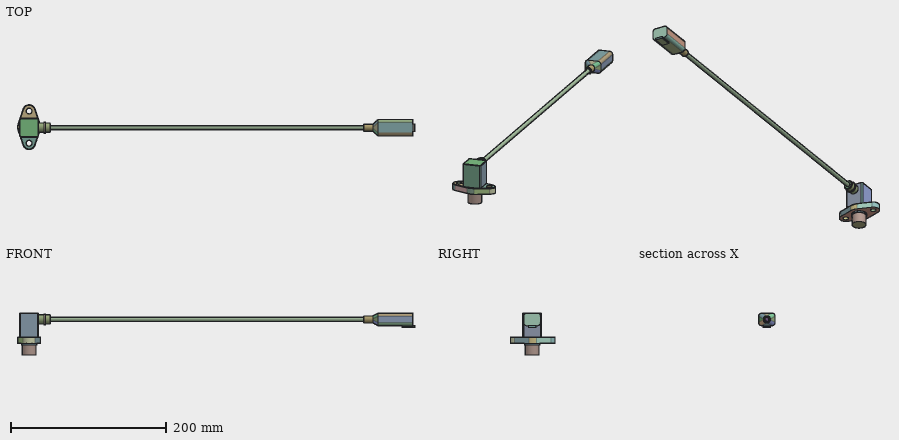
import cadquery as cq

TOTAL_LENGTH = 511.5
TOTAL_HEIGHT = 54.0
TOTAL_WIDTH = 58.0

NOSE_DIAMETER = 18.0
NOSE_LENGTH = 15.5
COLLAR_DIAMETER = 20.0
COLLAR_HEIGHT = 2.0
FLANGE_THICKNESS = 8.0
FLANGE_SHIFT_Y = 0.75
FLANGE_EDGE_CHAMFER = 0.75
FLANGE_CENTRE_RADIUS = 15.0
FLANGE_END_RADIUS = 8.0
MOUNT_HOLE_DIAMETER = 7.0
MOUNT_HOLE_OFFSET = TOTAL_WIDTH / 2 - FLANGE_END_RADIUS
FLANGE_TOP = NOSE_LENGTH + FLANGE_THICKNESS

HEAD_SIZE = 24.5
HEAD_EDGE_CHAMFER = 1.5
HEAD_TOP_CHAMFER = 0.75
HEAD_FACE_X = HEAD_SIZE / 2

CABLE_AXIS_Z = 46.0
GLAND_DIAMETER = 12.5
GLAND_LENGTH = 15.5
GLAND_END_CHAMFER = 1.0
GLAND_RING_DIAMETER = 14.5
GLAND_RING_WIDTH = 1.5
GLAND_RING_START = 7.0
GLAND_END_X = HEAD_FACE_X + GLAND_LENGTH

PART_END_X = TOTAL_LENGTH - FLANGE_CENTRE_RADIUS
CABLE_DIAMETER = 5.5
BOOT_DIAMETER = 9.0
BOOT_LENGTH = 12.5
BOOT_END_CHAMFER = 1.0
TAPER_LENGTH = 6.5
PLUG_LENGTH = 45.0
PLUG_WIDTH = 21.5
PLUG_HEIGHT = 16.5
PLUG_CORNER_RADIUS = 4.0
TAB_LENGTH = 16.5
TAB_OVERHANG = 2.5
TAB_WIDTH = 9.5
TAB_THICKNESS = 2.5
TAB_DROP = 2.0
PLUG_END_X = PART_END_X - TAB_OVERHANG
PLUG_START_X = PLUG_END_X - PLUG_LENGTH
TAPER_START_X = PLUG_START_X - TAPER_LENGTH
BOOT_START_X = TAPER_START_X - BOOT_LENGTH


def upright_cylinder(diameter, bottom, height, y=0):
    return cq.Workplane("XY", origin=(0, y, bottom)).circle(diameter / 2).extrude(height)


def cable_section(x):
    """Plane across the cable at x, with local axes Y and Z and its origin on the cable axis."""
    return cq.Workplane("YZ", origin=(x, 0, CABLE_AXIS_Z))


def cable_cylinder(diameter, x, length):
    return cable_section(x).circle(diameter / 2).extrude(length)


def make_flange():
    """Centre disc and two end discs, joined by straight tangent sides."""
    tilt_sin = (FLANGE_CENTRE_RADIUS - FLANGE_END_RADIUS) / MOUNT_HOLE_OFFSET
    tilt_cos = (1 - tilt_sin**2) ** 0.5
    centre_x = FLANGE_CENTRE_RADIUS * tilt_cos
    centre_y = FLANGE_CENTRE_RADIUS * tilt_sin
    end_x = FLANGE_END_RADIUS * tilt_cos
    end_y = MOUNT_HOLE_OFFSET + FLANGE_END_RADIUS * tilt_sin
    tip_y = TOTAL_WIDTH / 2
    return (
        cq.Workplane("XY", origin=(0, FLANGE_SHIFT_Y, NOSE_LENGTH))
        .moveTo(centre_x, -centre_y)
        .threePointArc((FLANGE_CENTRE_RADIUS, 0), (centre_x, centre_y))
        .lineTo(end_x, end_y)
        .threePointArc((0, tip_y), (-end_x, end_y))
        .lineTo(-centre_x, centre_y)
        .threePointArc((-FLANGE_CENTRE_RADIUS, 0), (-centre_x, -centre_y))
        .lineTo(-end_x, -end_y)
        .threePointArc((0, -tip_y), (end_x, -end_y))
        .close()
        .extrude(FLANGE_THICKNESS)
        .faces(">Z")
        .chamfer(FLANGE_EDGE_CHAMFER)
    )


def make_head():
    return (
        cq.Workplane("XY")
        .workplane(offset=FLANGE_TOP)
        .rect(HEAD_SIZE, HEAD_SIZE)
        .extrude(TOTAL_HEIGHT - FLANGE_TOP)
        .edges("|Z")
        .chamfer(HEAD_EDGE_CHAMFER)
        .faces(">Z")
        .chamfer(HEAD_TOP_CHAMFER)
    )


def make_gland():
    barrel = cable_cylinder(GLAND_DIAMETER, HEAD_FACE_X, GLAND_LENGTH).faces(">X").chamfer(GLAND_END_CHAMFER)
    ring = cable_cylinder(GLAND_RING_DIAMETER, HEAD_FACE_X + GLAND_RING_START, GLAND_RING_WIDTH)
    return barrel.union(ring)


def make_sensor():
    nose = upright_cylinder(NOSE_DIAMETER, 0, NOSE_LENGTH)
    collar = upright_cylinder(COLLAR_DIAMETER, NOSE_LENGTH - COLLAR_HEIGHT, COLLAR_HEIGHT)
    sensor = make_flange().union(nose).union(collar).union(make_head()).union(make_gland())
    for side in (-1, 1):
        hole_y = FLANGE_SHIFT_Y + side * MOUNT_HOLE_OFFSET
        hole = upright_cylinder(MOUNT_HOLE_DIAMETER, NOSE_LENGTH, FLANGE_THICKNESS, hole_y)
        sensor = sensor.cut(hole)
    return sensor


def rounded_section(width, height):
    return cq.Sketch().rect(width, height).vertices().fillet(PLUG_CORNER_RADIUS)


def make_plug():
    """Round-cornered box whose cable end tapers down to the boot."""
    box_section = rounded_section(PLUG_WIDTH, PLUG_HEIGHT)
    boot_section = rounded_section(BOOT_DIAMETER, BOOT_DIAMETER)
    box = cable_section(PLUG_START_X).placeSketch(box_section).extrude(PLUG_LENGTH)
    taper = (
        cable_section(TAPER_START_X)
        .placeSketch(boot_section, box_section.moved(cq.Location(cq.Vector(0, 0, TAPER_LENGTH))))
        .loft(ruled=True)
    )
    return box.union(taper)


def make_tab():
    """Latch tab under the plug, reaching past its open end."""
    tab_bottom = CABLE_AXIS_Z - PLUG_HEIGHT / 2 - TAB_DROP
    tab_start = cq.Workplane("XY", origin=(PART_END_X - TAB_LENGTH, 0, tab_bottom))
    return tab_start.box(TAB_LENGTH, TAB_WIDTH, TAB_THICKNESS, centered=(False, True, False))


def make_cable():
    """Cable from the gland face to the plug, with the strain-relief boot, plug and tab moulded on."""
    wire = cable_cylinder(CABLE_DIAMETER, GLAND_END_X, BOOT_START_X - GLAND_END_X)
    boot = cable_cylinder(BOOT_DIAMETER, BOOT_START_X, BOOT_LENGTH).faces("<X").chamfer(BOOT_END_CHAMFER)
    return wire.union(boot).union(make_plug()).union(make_tab())


sensor = make_sensor()
cable = make_cable()
result = cq.Compound.makeCompound([sensor.val(), cable.val()])